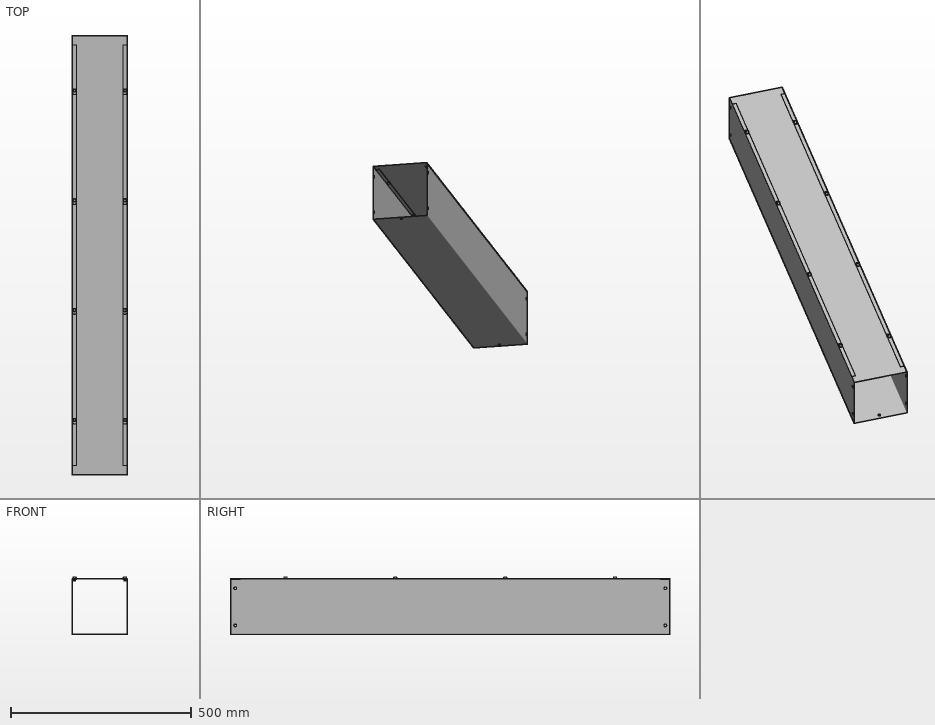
import cadquery as cq
length = 1219.2
cover_width = 152.4
sheet = 1.45
duct_width = cover_width + 2 * sheet
cover_top = duct_width
duct_height = cover_top - sheet
overall_height = 159.74

bend_inner_radius = 0.7
bend_outer_radius = bend_inner_radius + sheet
flange_width = 12.7
flange_end_inset = 26.4

mount_hole_diameter = 6.8
mount_hole_inset = 12.7
mount_hole_edge = 25.4
mount_hole_heights = (mount_hole_edge, duct_height - mount_hole_edge)

screw_pitch = length / 4
screw_rows = 4
screw_inset = 6.35
screw_x = cover_width / 2 - screw_inset
shank_diameter = 6.35
shank_length = 6.35
head_diameter = 9.53
head_edge_radius = 2.4
head_height = overall_height - cover_top

keyhole_diameter = 11.11
keyhole_travel = 6

screw_places = [
    (side * screw_x, (row - (screw_rows - 1) / 2) * screw_pitch)
    for side in (-1, 1)
    for row in range(screw_rows)
]


def bent_box(width, bottom, top, radius):
    """A full-length bar along Y with its four long edges rounded."""
    return (
        cq.Workplane("XY")
        .box(width, length, top - bottom, centered=(True, True, False))
        .translate((0, 0, bottom))
        .edges("|Y")
        .fillet(radius)
    )


def flange_opening():
    """The open top between the flanges, widening to the bends where the flanges stop short of the ends."""
    flange_length = length - 2 * flange_end_inset
    top_sheet = cq.Workplane("XY", origin=(0, 0, duct_height - sheet))
    between_flanges = top_sheet.rect(duct_width - 2 * flange_width, length).extrude(sheet)
    between_bends = top_sheet.rect(duct_width - 2 * bend_outer_radius, length).extrude(sheet)
    flange_stretch = top_sheet.rect(duct_width, flange_length).extrude(sheet)
    return between_bends.cut(flange_stretch).union(between_flanges)


def make_trough():
    """U-shaped trough with inward flanges, made of one folded sheet."""
    outside = bent_box(duct_width, 0, duct_height, bend_outer_radius)
    inside = bent_box(cover_width, sheet, duct_height - sheet, bend_inner_radius)
    trough = outside.cut(inside).cut(flange_opening())

    hole_y = length / 2 - mount_hole_inset
    wall_holes = (
        cq.Workplane("YZ")
        .pushPoints([(y, z) for y in (-hole_y, hole_y) for z in mount_hole_heights])
        .circle(mount_hole_diameter / 2)
        .extrude(duct_width, both=True)
    )
    floor_holes = (
        cq.Workplane("XY")
        .pushPoints([(0, -hole_y), (0, hole_y)])
        .circle(mount_hole_diameter / 2)
        .extrude(sheet)
    )
    screw_holes = (
        cq.Workplane("XY", origin=(0, 0, duct_height - sheet))
        .pushPoints(screw_places)
        .circle(shank_diameter / 2)
        .extrude(sheet)
    )
    return trough.cut(wall_holes).cut(floor_holes).cut(screw_holes)


def make_cover():
    """Flat cover lying on the flanges, with a keyhole for each screw."""
    plate = (
        cq.Workplane("XY", origin=(0, 0, duct_height))
        .rect(cover_width, length)
        .extrude(sheet)
    )
    for x, y in screw_places:
        entry = (
            cq.Workplane("XY", origin=(x, y - keyhole_travel, duct_height))
            .circle(keyhole_diameter / 2)
            .extrude(sheet)
        )
        neck = (
            cq.Workplane("XY", origin=(x, y - keyhole_travel / 2, duct_height))
            .slot2D(keyhole_travel + shank_diameter, shank_diameter, 90)
            .extrude(sheet)
        )
        plate = plate.cut(entry).cut(neck)
    return plate


def make_screw(x, y):
    """Round-headed screw with its head resting on the cover."""
    return (
        cq.Workplane("XY", origin=(x, y, cover_top))
        .circle(head_diameter / 2)
        .extrude(head_height)
        .edges(">Z")
        .fillet(head_edge_radius)
        .faces("<Z")
        .workplane()
        .circle(shank_diameter / 2)
        .extrude(shank_length)
    )


trough = make_trough()
cover = make_cover()
screws = [make_screw(x, y) for x, y in screw_places]

result = cq.Compound.makeCompound(
    [trough.val(), cover.val(), *[screw.val() for screw in screws]]
)